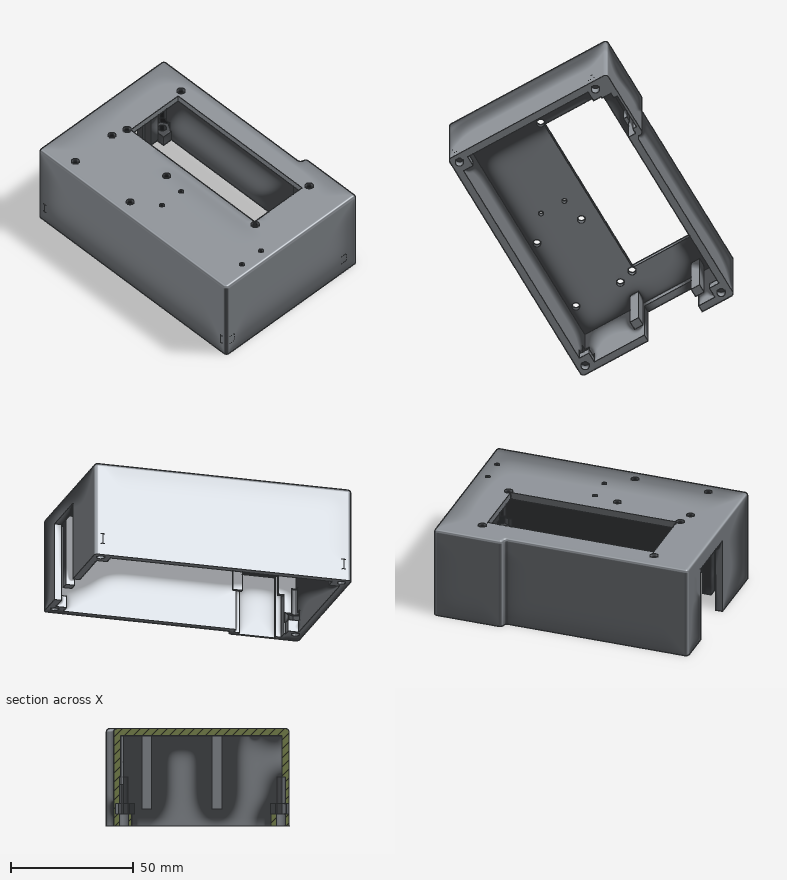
import cadquery as cq
import math

LENGTH = 110.0
DEPTH = 75.0
HEIGHT = 40.0
WALL = 3.0

EDGE_RADIUS = 1.499

STEP_X = 80.0
STEP_DEPTH = 3.0
REAR_Y = DEPTH - STEP_DEPTH
INNER_REAR_Y = REAR_Y - WALL
INNER_RIGHT_X = LENGTH - WALL
CEILING_Z = HEIGHT - WALL

DISPLAY_CENTER = (55.0, 49.2)
DISPLAY_HOLE_PITCH = (75.0, 31.0)
DISPLAY_HOLE_DIAMETER = 3.4
WINDOW_SIZE = (72.5, 27.2)
WINDOW_CENTER = (55.0, 48.2)

BOARD_CENTER = (31.5, 16.5)
BOARD_HOLE_PITCH = (32.0, 21.0)
BOARD_HOLE_DIAMETER = 3.2
MODULE_CENTER = (81.4, 19.5)
MODULE_HOLE_PITCH = (46.8, 11.0)
MODULE_HOLE_DIAMETER = 2.0

DOOR_CENTER_Y = 44.0
DOOR_WIDTH = 25.6
DOOR_TOP_Z = 33.0
RAIL_OVERLAP = 0.4
RAIL_WIDTH = 4.0
RAIL_BOTTOM_Z = 7.0
RAIL_GAP = 1.8
RAIL_THICKNESS = 3.7

LIP_THICKNESS = 1.0
LIP_Y = INNER_REAR_Y - LIP_THICKNESS
LIP_BOTTOM_Z = 17.0
POCKET_CENTER_X = 91.7
POCKET_TOP_Z = 26.2
SLOT_WIDTH = 20.3
SLOT_FRONT_Y = 69.5
SLOT_REAR_Y = 72.3
OPENING_WIDTH = 15.6
POCKET_SKIN = 1.0

SCREW_INSET = 3.4
SCREW_REAR_INSET = 4.3
SCREW_DIAMETER = 3.4
SCREW_TOP_Z = 20.0
NUT_CORNER_RADIUS = 3.38
NUT_BOTTOM_Z = 5.0
NUT_TOP_Z = 9.2
NUT_CORNER_OFFSET_ANGLE = 15.0
NUT_SLOT_LENGTH = 6.5
BOSS_REACH = 7.5


def box(x_range, y_range, z_range):
    """Axis-aligned box between the given limits."""
    low, high = zip(x_range, y_range, z_range)
    size = [b - a for a, b in zip(low, high)]
    return cq.Workplane("XY").box(*size, centered=False).translate(low)


def centered_range(center, width):
    return (center - width / 2, center + width / 2)


def outer_body():
    outline = [
        (0, 0),
        (LENGTH, 0),
        (LENGTH, DEPTH),
        (STEP_X, DEPTH),
        (STEP_X, REAR_Y),
        (0, REAR_Y),
    ]
    body = cq.Workplane("XY").polyline(outline).close().extrude(HEIGHT)
    return body.edges("|Z or >Z").fillet(EDGE_RADIUS)


def shell():
    cavity = box((WALL, INNER_RIGHT_X), (WALL, INNER_REAR_Y), (0, CEILING_Z))
    return outer_body().cut(cavity)


def hole_group(center, pitch, diameter):
    """Four vertical holes through the top plate on a rectangle."""
    plane = cq.Workplane("XY", origin=(*center, CEILING_Z))
    return plane.rect(*pitch, forConstruction=True).vertices().circle(diameter / 2).extrude(WALL)


def window():
    return box(
        centered_range(WINDOW_CENTER[0], WINDOW_SIZE[0]),
        centered_range(WINDOW_CENTER[1], WINDOW_SIZE[1]),
        (CEILING_Z, HEIGHT),
    )


def doorway():
    return box((0, WALL), centered_range(DOOR_CENTER_Y, DOOR_WIDTH), (0, DOOR_TOP_Z))


def guide_rail(side):
    """Rail hanging from the ceiling beside the doorway; side is +1 or -1 along Y."""
    inner_y = DOOR_CENTER_Y + side * (DOOR_WIDTH / 2 - RAIL_OVERLAP)
    outer_y = inner_y + side * RAIL_WIDTH
    front_x = WALL + RAIL_GAP
    return box(
        (front_x, front_x + RAIL_THICKNESS),
        sorted((inner_y, outer_y)),
        (RAIL_BOTTOM_Z, CEILING_Z),
    )


def pocket_lip():
    slot_right = POCKET_CENTER_X + SLOT_WIDTH / 2
    upper = box((STEP_X, INNER_RIGHT_X), (LIP_Y, INNER_REAR_Y), (LIP_BOTTOM_Z, CEILING_Z))
    lower = box((slot_right, INNER_RIGHT_X), (LIP_Y, INNER_REAR_Y), (0, LIP_BOTTOM_Z))
    return upper.union(lower)


def sensor_pocket():
    z_range = (0, POCKET_TOP_Z)
    slot_x = centered_range(POCKET_CENTER_X, SLOT_WIDTH)
    slot = box(slot_x, (SLOT_FRONT_Y, SLOT_REAR_Y), z_range)
    entry = box(slot_x, (LIP_Y, SLOT_FRONT_Y), (0, LIP_BOTTOM_Z))
    opening = box(centered_range(POCKET_CENTER_X, OPENING_WIDTH), (LIP_Y, DEPTH - POCKET_SKIN), z_range)
    return slot.union(entry).union(opening)


def screw_points():
    for x in (SCREW_INSET, LENGTH - SCREW_INSET):
        for y in (SCREW_INSET, REAR_Y - SCREW_REAR_INSET):
            yield x, y


def corner_bosses():
    """Low square blocks that carry the nuts in the four inner corners."""
    bosses = cq.Workplane("XY")
    for x_range in ((WALL, BOSS_REACH), (LENGTH - BOSS_REACH, INNER_RIGHT_X)):
        for y_range in ((WALL, BOSS_REACH), (REAR_Y - BOSS_REACH, INNER_REAR_Y)):
            bosses = bosses.union(box(x_range, y_range, (0, NUT_BOTTOM_Z)))
    return bosses


def screw_and_nut(x, y):
    """Screw hole from below and a hexagonal nut pocket, open diagonally towards the inside."""
    screw = cq.Workplane("XY", origin=(x, y, 0)).circle(SCREW_DIAMETER / 2).extrude(SCREW_TOP_Z)
    nut_height = NUT_TOP_Z - NUT_BOTTOM_Z
    nut_plane = cq.Workplane("XY", origin=(x, y, NUT_BOTTOM_Z))
    nut = nut_plane.transformed(rotate=(0, 0, 90)).polygon(6, 2 * NUT_CORNER_RADIUS).extrude(nut_height)

    slot_width = 2 * NUT_CORNER_RADIUS * math.cos(math.radians(NUT_CORNER_OFFSET_ANGLE))
    inward_x = 1 if x < LENGTH / 2 else -1
    inward_y = 1 if y < REAR_Y / 2 else -1
    slot_angle = math.degrees(math.atan2(inward_y, inward_x))
    slot = (
        nut_plane.transformed(rotate=(0, 0, slot_angle))
        .center(NUT_SLOT_LENGTH / 2, 0)
        .rect(NUT_SLOT_LENGTH, slot_width)
        .extrude(nut_height)
    )
    return screw.union(nut).union(slot)


result = shell().union(pocket_lip()).union(corner_bosses())
for side in (1, -1):
    result = result.union(guide_rail(side))

result = result.cut(window()).cut(doorway()).cut(sensor_pocket())
result = result.cut(hole_group(DISPLAY_CENTER, DISPLAY_HOLE_PITCH, DISPLAY_HOLE_DIAMETER))
result = result.cut(hole_group(BOARD_CENTER, BOARD_HOLE_PITCH, BOARD_HOLE_DIAMETER))
result = result.cut(hole_group(MODULE_CENTER, MODULE_HOLE_PITCH, MODULE_HOLE_DIAMETER))
for x, y in screw_points():
    result = result.cut(screw_and_nut(x, y))